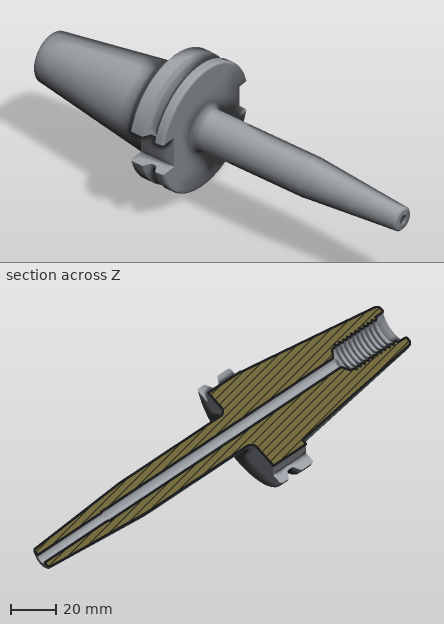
import cadquery as cq
import math

total_length = 198.25
taper_length = 68.25
flange_back_x = 0.55
flange_front_x = 19.05
nose_cone_length = 51.5
tip_x = total_length - taper_length
back_x = -taper_length

gauge_diameter = 44.45
taper_rate = 7 / 24
back_fillet = 2.0

flange_diameter = 63.5
flange_fillet = 1.2
groove_center_x = 11.1
groove_width = 7.15
groove_floor_diameter = 56.25
groove_half_angle = 30
cut_clearance = 1.0
groove_fillet = 0.8

slot_width = 16.2
slot_floor_plus_y = 25.0
slot_floor_minus_y = 22.6

shank_diameter = 19.6
shank_fillet = 3.0
nose_half_angle = 4.5
tip_chamfer = 0.8

pilot_diameter = 16.3
pilot_mouth_diameter = 16.8
pilot_mouth_depth = 0.8
pilot_depth = 4.5
thread_major_diameter = 15.88
thread_minor_diameter = 13.54
thread_mouth_diameter = 14.8
threads_per_inch = 11
thread_pitch = 25.4 / threads_per_inch
thread_flank_angle = 30
thread_turns = 11
drill_point_half_angle = 59
coolant_diameter = 5.6
tool_bore_diameter = 4.76
tool_bore_depth = 36.0


def slope(angle):
    return math.tan(math.radians(angle))


def revolve_about_x(profile):
    """Revolve a closed (x, radius) profile a full turn about the X axis."""
    return profile.close().revolve(360, (0, 0, 0), (1, 0, 0))


def make_taper():
    gauge_radius = gauge_diameter / 2
    back_radius = gauge_radius - taper_length * taper_rate / 2
    cone = revolve_about_x(
        cq.Workplane("XY")
        .moveTo(back_x, 0)
        .lineTo(back_x, back_radius)
        .lineTo(0, gauge_radius)
        .lineTo(flange_front_x, gauge_radius)
        .lineTo(flange_front_x, 0)
    )
    return cone.faces("<X").edges().fillet(back_fillet)


def make_groove():
    outer_radius = flange_diameter / 2
    floor_radius = groove_floor_diameter / 2
    half_top = groove_width / 2
    half_floor = half_top - (outer_radius - floor_radius) * slope(groove_half_angle)
    clear_radius = outer_radius + cut_clearance
    groove = revolve_about_x(
        cq.Workplane("XY")
        .moveTo(groove_center_x - half_top, clear_radius)
        .lineTo(groove_center_x - half_top, outer_radius)
        .lineTo(groove_center_x - half_floor, floor_radius)
        .lineTo(groove_center_x + half_floor, floor_radius)
        .lineTo(groove_center_x + half_top, outer_radius)
        .lineTo(groove_center_x + half_top, clear_radius)
    )
    floor_edges = cq.selectors.RadiusNthSelector(0)
    return groove.edges("%CIRCLE").edges(floor_edges).fillet(groove_fillet)


def make_slot(side, floor):
    """Drive slot reaching outward from its floor on the +Y (side=1) or -Y (side=-1) side."""
    depth = flange_diameter / 2
    center_x = (flange_back_x + flange_front_x) / 2
    center_y = side * (floor + depth / 2)
    length = flange_front_x - flange_back_x
    return cq.Workplane("XY", origin=(center_x, center_y, 0)).box(length, depth, slot_width)


def make_flange():
    flange = (
        cq.Workplane("YZ", origin=(flange_back_x, 0, 0))
        .circle(flange_diameter / 2)
        .extrude(flange_front_x - flange_back_x)
        .edges()
        .fillet(flange_fillet)
    )
    return (
        flange.cut(make_groove())
        .cut(make_slot(1, slot_floor_plus_y))
        .cut(make_slot(-1, slot_floor_minus_y))
    )


def make_shank():
    shank_radius = shank_diameter / 2
    tip_radius = shank_radius - nose_cone_length * slope(nose_half_angle)
    shank = (
        cq.Workplane("XY")
        .moveTo(flange_front_x, 0)
        .lineTo(flange_front_x, shank_radius + shank_fillet)
        .radiusArc((flange_front_x + shank_fillet, shank_radius), -shank_fillet)
        .lineTo(tip_x - nose_cone_length, shank_radius)
        .lineTo(tip_x, tip_radius)
        .lineTo(tip_x, 0)
    )
    return revolve_about_x(shank).faces(">X").edges().chamfer(tip_chamfer)


def make_bore():
    mouth_radius = pilot_mouth_diameter / 2
    pilot_radius = pilot_diameter / 2
    major_radius = thread_major_diameter / 2
    minor_radius = thread_minor_diameter / 2
    thread_mouth_radius = thread_mouth_diameter / 2
    coolant_radius = coolant_diameter / 2
    tool_radius = tool_bore_diameter / 2
    pilot_end_x = back_x + pilot_depth
    flank_length = (major_radius - minor_radius) * slope(thread_flank_angle)
    thread_mouth_length = (thread_mouth_radius - minor_radius) * slope(thread_flank_angle)
    thread_end_x = pilot_end_x + thread_turns * thread_pitch
    point_length = (minor_radius - coolant_radius) / slope(drill_point_half_angle)
    profile = (
        cq.Workplane("XY")
        .moveTo(back_x, 0)
        .lineTo(back_x, mouth_radius)
        .lineTo(back_x + pilot_mouth_depth, pilot_radius)
        .lineTo(pilot_end_x, pilot_radius)
        .lineTo(pilot_end_x, thread_mouth_radius)
        .lineTo(pilot_end_x + thread_mouth_length, minor_radius)
    )
    for turn in range(1, thread_turns):
        root_x = pilot_end_x + turn * thread_pitch
        profile = (
            profile.lineTo(root_x - flank_length, minor_radius)
            .lineTo(root_x, major_radius)
            .lineTo(root_x + flank_length, minor_radius)
        )
    return revolve_about_x(
        profile.lineTo(thread_end_x, minor_radius)
        .lineTo(thread_end_x + point_length, coolant_radius)
        .lineTo(tip_x - tool_bore_depth, coolant_radius)
        .lineTo(tip_x - tool_bore_depth, tool_radius)
        .lineTo(tip_x, tool_radius)
        .lineTo(tip_x, 0)
    )


result = make_taper().union(make_flange()).union(make_shank()).cut(make_bore())